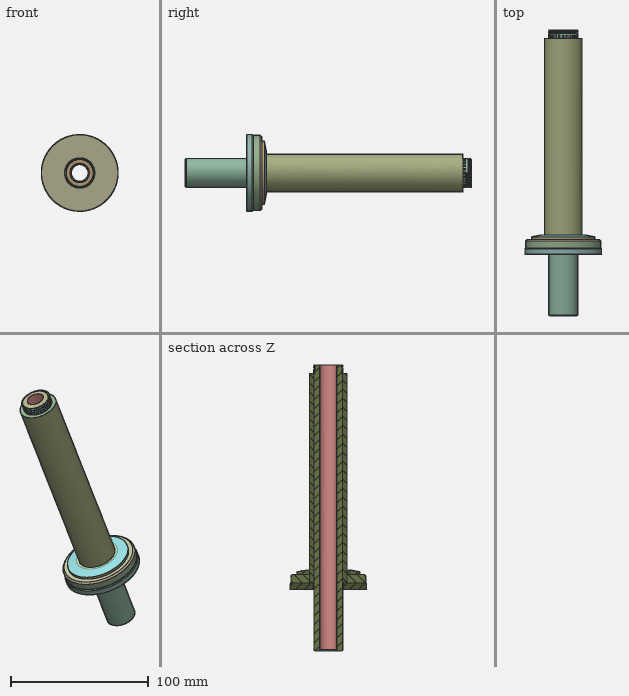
import cadquery as cq
import math

LENGTH = 207.7

PIPE_RADIUS = 10.5
BORE_RADIUS = 6.0
BORE_CHAMFER = 1.0
PIPE_END_CHAMFER = 0.8

THREAD_PITCH = 1.9
THREAD_DEPTH = 1.2
THREAD_START = 204.2
GROOVE_WIDTH = 1.2
SPLINE_COUNT = 24
SPLINE_WIDTH = 1.5
SPLINE_DEPTH = 0.8
SPLINE_END = 203.5

SLEEVE_RADIUS = 13.7
SLEEVE_END = 201.5

BASE_DIAMETER = 55.9
BASE_START = 44.7
BASE_THICKNESS = 4.8
BASE_HOLE_RADIUS = 11.0
BASE_FRONT_CHAMFER = 0.2
BASE_BACK_CHAMFER = 0.8
COVER_RADIUS = 27.5
COVER_THICKNESS = 6.2
COVER_CHAMFER = 1.2
COLLAR_RADIUS = 23.0
COLLAR_TOP_RADIUS = 15.5
COLLAR_RIM = 1.9
COLLAR_RISE = 1.5

BASE_END = BASE_START + BASE_THICKNESS
COVER_END = BASE_END + COVER_THICKNESS

CUT_MARGIN = 0.2


def cylinder(radius, start, end):
    """Solid cylinder about Y between two stations."""
    return cq.Workplane("XZ", origin=(0, start, 0)).circle(radius).extrude(start - end)


def tube(outer_radius, inner_radius, start, end):
    """Cylinder with a concentric through hole."""
    return cylinder(outer_radius, start, end).cut(cylinder(inner_radius, start, end))


def thread_groove():
    """Right-handed V groove that runs out through the threaded end."""
    height = LENGTH - THREAD_START + GROOVE_WIDTH / 2
    root = PIPE_RADIUS - THREAD_DEPTH
    crest = PIPE_RADIUS + CUT_MARGIN
    half_width = GROOVE_WIDTH / 2 * (crest - root) / THREAD_DEPTH
    helix = cq.Wire.makeHelix(THREAD_PITCH, height, PIPE_RADIUS)
    groove = (
        cq.Workplane("XZ")
        .polyline([(root, 0), (crest, -half_width), (crest, half_width)])
        .close()
        .sweep(cq.Workplane(obj=helix), isFrenet=True)
    )
    return groove.rotate((0, 0, 0), (1, 0, 0), -90).translate((0, THREAD_START, 0))


def spline_grooves():
    """Lengthwise grooves around the pipe between the sleeve and the thread."""
    length = SPLINE_END - SLEEVE_END
    half_angle = math.degrees(SPLINE_WIDTH / 2 / PIPE_RADIUS)
    grooves = []
    for index in range(SPLINE_COUNT):
        angle = index * 360 / SPLINE_COUNT
        points = []
        for radius, offset in (
            (PIPE_RADIUS - SPLINE_DEPTH, 0),
            (PIPE_RADIUS + CUT_MARGIN, -half_angle),
            (PIPE_RADIUS + CUT_MARGIN, half_angle),
        ):
            turn = math.radians(angle + offset)
            points.append((radius * math.cos(turn), radius * math.sin(turn)))
        outline = cq.Workplane("XZ", origin=(0, SLEEVE_END, 0)).polyline(points).close()
        grooves.append(outline.extrude(-length))
    return grooves


def make_pipe():
    body = cylinder(PIPE_RADIUS, 0, LENGTH)
    body = body.faces("<Y").chamfer(PIPE_END_CHAMFER)
    body = body.cut(cylinder(BORE_RADIUS, 0, LENGTH))
    body = body.faces("<Y").edges(cq.selectors.RadiusNthSelector(0)).chamfer(BORE_CHAMFER)
    body = body.cut(thread_groove())
    for groove in spline_grooves():
        body = body.cut(groove)
    return body


def make_sleeve():
    return tube(SLEEVE_RADIUS, PIPE_RADIUS, BASE_END, SLEEVE_END)


def make_base():
    disc = cylinder(BASE_DIAMETER / 2, BASE_START, BASE_END)
    disc = disc.faces("<Y").chamfer(BASE_FRONT_CHAMFER)
    disc = disc.faces(">Y").chamfer(BASE_BACK_CHAMFER)
    return disc.cut(cylinder(BASE_HOLE_RADIUS, BASE_START, BASE_END))


def make_cover():
    ring = cylinder(COVER_RADIUS, BASE_END, COVER_END).faces(">Y").edges().chamfer(COVER_CHAMFER)
    return ring.cut(cylinder(SLEEVE_RADIUS, BASE_END, COVER_END))


def make_collar():
    """Ring with a cylindrical rim and a conical top."""
    rim_end = COVER_END + COLLAR_RIM
    profile = [
        (SLEEVE_RADIUS, COVER_END),
        (COLLAR_RADIUS, COVER_END),
        (COLLAR_RADIUS, rim_end),
        (COLLAR_TOP_RADIUS, rim_end + COLLAR_RISE),
        (SLEEVE_RADIUS, rim_end + COLLAR_RISE),
    ]
    return cq.Workplane("XY").polyline(profile).close().revolve(360, (0, 0, 0), (0, 1, 0))


pipe = make_pipe()
sleeve = make_sleeve()
base = make_base()
cover = make_cover()
collar = make_collar()

result = cq.Compound.makeCompound([pipe.val(), sleeve.val(), base.val(), cover.val(), collar.val()])